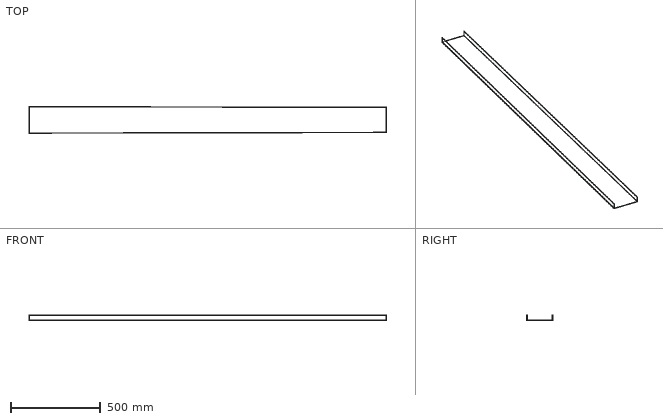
import cadquery as cq

length = 2000.0
wide_end = 150.0
narrow_end = 142.0
height = 30.0
sheet = 2.0


def tapered_prism(side_inset):
    """Full-length trapezoid, narrowing toward +X, with both long sides moved in by side_inset."""
    half_length = length / 2
    half_wide = wide_end / 2 - side_inset
    half_narrow = narrow_end / 2 - side_inset
    corners = [
        (-half_length, -half_wide),
        (half_length, -half_narrow),
        (half_length, half_narrow),
        (-half_length, half_wide),
    ]
    return cq.Workplane("XY").polyline(corners).close().extrude(height)


cavity = tapered_prism(sheet).translate((0, 0, sheet))
result = tapered_prism(0).cut(cavity)